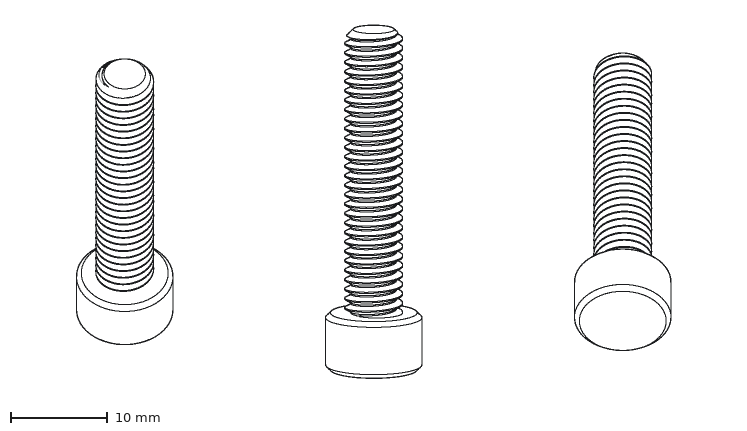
import cadquery as cq

total_length = 36
head_diameter = 10.0
head_height = 6.0
head_chamfer = 0.5
thread_diameter = 6.0
core_diameter = 4.7
tip_chamfer = 0.85
thread_turns = 30
crest_phase = 0.65
ridge_overlap = 0.07

thread_radius = thread_diameter / 2
core_radius = core_diameter / 2
pitch = (total_length - head_height) / thread_turns
ridge_root_width = 0.86 * pitch
ridge_crest_width = pitch / 8
flank_slope = (ridge_root_width - ridge_crest_width) / 2 / (thread_radius - core_radius)


def make_head():
    head = cq.Workplane("XY").circle(head_diameter / 2).extrude(head_height)
    return head.edges("%CIRCLE").chamfer(head_chamfer)


def make_core():
    """Core cylinder, rooted in the head and running past the tip."""
    return cq.Workplane("XY").circle(core_radius).extrude(total_length + pitch)


def make_thread_ridge():
    """Right-handed ridge, starting inside the head and running past the tip."""
    start_height = head_height + (crest_phase - 1) * pitch
    ridge_length = (thread_turns + 2) * pitch
    inner_radius = core_radius - ridge_overlap
    half_crest = ridge_crest_width / 2
    half_base = half_crest + flank_slope * (thread_radius - inner_radius)
    path = cq.Wire.makeHelix(pitch, ridge_length, core_radius, cq.Vector(0, 0, start_height))
    profile = cq.Workplane("XZ").polyline([
        (inner_radius, start_height - half_base),
        (thread_radius, start_height - half_crest),
        (thread_radius, start_height + half_crest),
        (inner_radius, start_height + half_base),
    ]).close()
    return profile.sweep(cq.Workplane(path), isFrenet=True)


def make_trim_envelope():
    """Cylinder clear of the whole screw, with the flat tip and its 45 degree cone on top."""
    envelope_radius = head_diameter
    tip_radius = thread_radius - tip_chamfer
    cone_height = envelope_radius - tip_radius
    profile = cq.Workplane("XZ").polyline([
        (0, 0),
        (envelope_radius, 0),
        (envelope_radius, total_length - cone_height),
        (tip_radius, total_length),
        (0, total_length),
    ]).close()
    return profile.revolve(360, (0, 0, 0), (0, 1, 0))


untrimmed_screw = make_head().union(make_core()).union(make_thread_ridge())
result = untrimmed_screw.intersect(make_trim_envelope())